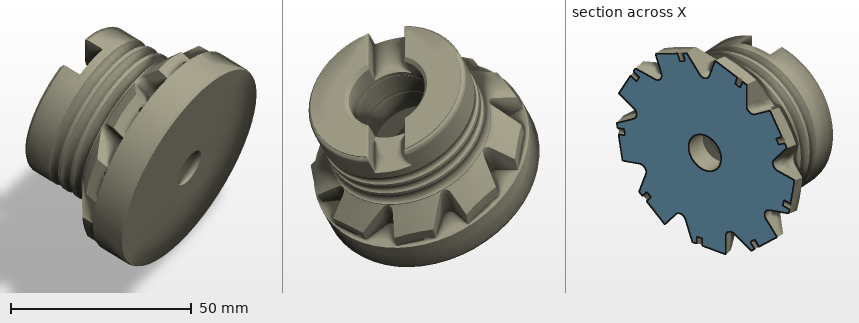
import cadquery as cq
import math


length = 40.1
flange_radius = 31.5
flange_front = 30.35
flange_root = 29.75
flange_bevel_length = 0.8
flange_bevel_depth = 0.3

neck_radius = 23.0
nose_radius = 22.0
nose_round = 1.3
nose_round_end = 1.65
groove_radius = 1.65
groove_depth = 1.15
groove_pitch = 4.15
first_groove = 10.45
groove_count = 3

bore_diameter = 22.2
seat_diameter = 22.0
relief_diameter = 22.3
bore_bevel = 1.0
seat_length = 7.0
front_seat = 7.75
relief_length = 1.0
through_diameter = 11.0
through_bevel = 0.55

slot_width = 10.6
slot_depth = 6.4
slot_bevel_depth = 0.6
slot_bevel_width = 0.4

tooth_count = 9
tooth_pitch = 360 / tooth_count
tooth_start = 20.7
root_radius = 23.75
tooth_shoulder = 26.15
shoulder_radius = 30.75
flat_height = 30.3
flat_tilt = 3.5
gap_round = 1.9
gap_floor_radius = 23.5
gap_rise = 0.06
gap_opening = 60.0
gap_lean = 11.5
gap_position = 21.3
gap_twist = 0.23

hole_diameter = 2.1
hole_depth = 2.5
hole_offset = 1.9
hole_x = 30.25


def turned(outline):
    """Revolve a closed outline of (x, radius) points about the X axis."""
    return outline.close().revolve(360, (0, 0, 0), (1, 0, 0))


def make_neck():
    """Neck cylinder with the rounded nose and the ring grooves."""
    round_centre_radius = neck_radius - nose_round
    nose_angle = math.asin((nose_radius - round_centre_radius) / nose_round)
    nose_step = nose_round_end - nose_round * math.cos(nose_angle)
    mid_angle = (nose_angle + math.pi / 2) / 2
    mid_point = (
        nose_round_end - nose_round * math.cos(mid_angle),
        round_centre_radius + nose_round * math.sin(mid_angle),
    )

    groove_rise = groove_radius - groove_depth
    half_groove = math.sqrt(groove_radius**2 - groove_rise**2)
    groove_centre_radius = neck_radius + groove_rise
    last_groove = first_groove + (groove_count - 1) * groove_pitch
    collar_start = last_groove + groove_radius
    end_arc_angle = math.asin(groove_rise / groove_radius) / 2
    end_arc_mid = (
        last_groove + groove_radius * math.cos(end_arc_angle),
        groove_centre_radius - groove_radius * math.sin(end_arc_angle),
    )

    outline = (
        cq.Workplane("XY")
        .lineTo(0, nose_radius)
        .lineTo(nose_step, nose_radius)
        .threePointArc(mid_point, (nose_round_end, neck_radius))
    )
    for i in range(groove_count):
        centre = first_groove + i * groove_pitch
        outline = outline.lineTo(centre - half_groove, neck_radius).threePointArc(
            (centre, neck_radius - groove_depth), (centre + half_groove, neck_radius)
        )
    outline = (
        outline.threePointArc(end_arc_mid, (collar_start, groove_centre_radius))
        .lineTo(collar_start, root_radius)
        .lineTo(tooth_start, root_radius)
        .lineTo(tooth_start, 0)
    )
    return turned(outline)


def make_flange():
    """Flange with a slightly conical front face and a bevelled back edge."""
    outline = (
        cq.Workplane("XY")
        .moveTo(flange_root, 0)
        .lineTo(flange_root, root_radius)
        .lineTo(flange_front, flange_radius)
        .lineTo(length - flange_bevel_length, flange_radius)
        .lineTo(length, flange_radius - flange_bevel_depth)
        .lineTo(length, 0)
    )
    return turned(outline)


def make_gap_cutter():
    """Round-bottomed V running obliquely along the tooth ring, beside the tooth at -Z."""
    half_opening = math.radians(gap_opening / 2)
    tangent_side = gap_round * math.cos(half_opening)
    tangent_drop = gap_round * math.sin(half_opening)
    reach = flange_radius - gap_floor_radius + gap_round
    mouth_side = tangent_side + (reach + tangent_drop) * math.tan(half_opening)
    run = length - tooth_start
    start_shift = gap_twist * (tooth_start - tooth_shoulder)

    cutter_profile = (
        cq.Workplane("YZ")
        .moveTo(-tangent_side, tangent_drop)
        .threePointArc((0, gap_round), (tangent_side, tangent_drop))
        .lineTo(mouth_side, -reach)
        .lineTo(-mouth_side, -reach)
        .close()
        .val()
    )
    cutter = cq.Solid.extrudeLinear(cutter_profile, [], cq.Vector(run, gap_twist * run, -gap_rise * run))
    return (
        cq.Workplane(cutter)
        .translate((tooth_start, start_shift, 0))
        .rotate((0, 0, 0), (1, 0, 0), gap_lean)
        .translate((0, 0, -gap_floor_radius - gap_round))
        .rotate((0, 0, 0), (1, 0, 0), -gap_position)
    )


def make_teeth():
    """Cone with flat tops, split into teeth by oblique gaps."""
    slope = (shoulder_radius - root_radius) / (tooth_shoulder - tooth_start)
    tip_x = tooth_start + (flange_radius - root_radius) / slope
    cone = turned(
        cq.Workplane("XY")
        .moveTo(tooth_start, 0)
        .lineTo(tooth_start, root_radius)
        .lineTo(tip_x, flange_radius)
        .lineTo(flange_front, flange_radius)
        .lineTo(flange_front, 0)
    )
    front_flat_height = flat_height + (tooth_shoulder - tooth_start) * math.tan(math.radians(flat_tilt))
    flats = (
        cq.Workplane("YZ", origin=(tooth_start, 0, 0))
        .transformed(rotate=(0, 0, 90))
        .polygon(tooth_count, 2 * front_flat_height / math.cos(math.pi / tooth_count))
        .extrude(flange_front - tooth_start, taper=flat_tilt)
    )
    teeth = cone.intersect(flats)
    gap = make_gap_cutter()
    hole = make_tooth_hole()
    for i in range(tooth_count):
        for cutter in (gap, hole):
            teeth = teeth.cut(cutter.rotate((0, 0, 0), (1, 0, 0), i * tooth_pitch))
    return teeth


def make_tooth_hole():
    """Drill for the hole in the flat top of the tooth at -Z."""
    return (
        cq.Workplane("XY", origin=(hole_x, -hole_offset, -flange_radius))
        .circle(hole_diameter / 2)
        .extrude(flange_radius - flat_height + hole_depth)
    )


def make_bore():
    """Stepped bearing bore and the through hole."""
    bore = bore_diameter / 2
    seat = seat_diameter / 2
    relief = relief_diameter / 2
    hole = through_diameter / 2
    relief_start = front_seat + seat_length
    rear_seat = relief_start + relief_length
    floor = rear_seat + seat_length
    outline = (
        cq.Workplane("XY")
        .lineTo(0, bore + bore_bevel)
        .lineTo(bore_bevel, bore)
        .lineTo(front_seat, bore)
        .lineTo(front_seat, seat)
        .lineTo(relief_start, seat)
        .lineTo(relief_start, relief)
        .lineTo(rear_seat, relief)
        .lineTo(rear_seat, seat)
        .lineTo(floor, seat)
        .lineTo(floor, hole + through_bevel)
        .lineTo(floor + through_bevel, hole)
        .lineTo(length, hole)
        .lineTo(length, 0)
    )
    return turned(outline)


def make_slot():
    """Slot across the front face along Z, with bevelled edges."""
    half_width = slot_width / 2
    return (
        cq.Workplane("XY")
        .moveTo(0, -half_width - slot_bevel_width)
        .lineTo(slot_bevel_depth, -half_width)
        .lineTo(slot_depth, -half_width)
        .lineTo(slot_depth, half_width)
        .lineTo(slot_bevel_depth, half_width)
        .lineTo(0, half_width + slot_bevel_width)
        .close()
        .extrude(flange_radius, both=True)
    )


body = make_neck().union(make_teeth()).union(make_flange())
result = body.cut(make_bore()).cut(make_slot())